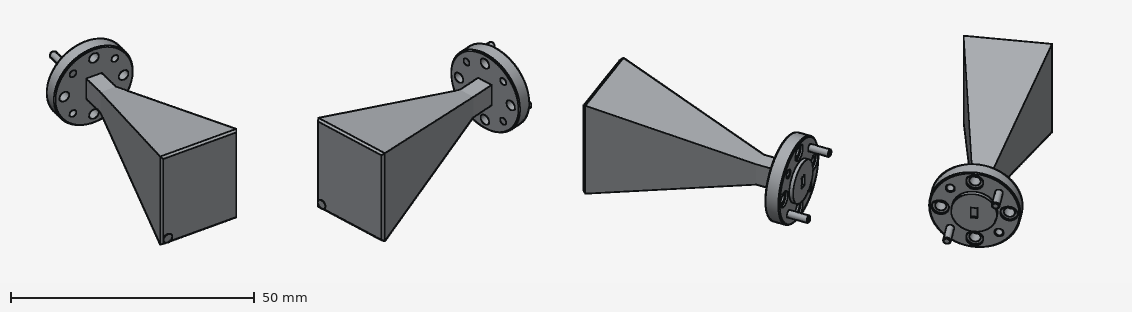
import cadquery as cq

BOSS_FACE_X = 3.75
FLANGE_FRONT_X = 4.65
FLANGE_REAR_X = 8.0
THROAT_X = 13.55
MOUTH_EDGE_X = 48.9
MOUTH_FACE_X = 49.5
OVERALL_LENGTH = 49.6

FLANGE_DIAMETER = 19.05
FLANGE_CHAMFER = 0.25
BOSS_DIAMETER = 9.5
FLANGE_THICKNESS = FLANGE_REAR_X - FLANGE_FRONT_X

SCREW_OFFSET = 7.15
SCREW_HOLE_DIAMETER = 2.35
COUNTERBORE_DIAMETER = 3.55
COUNTERBORE_DEPTH = 0.5
PIN_OFFSET = 5.05
ALIGNMENT_HOLE_DIAMETER = 1.65
ALIGNMENT_HOLE_CHAMFER = 0.15

PIN_DIAMETER = 1.65
PIN_CHAMFER = 0.2

PORT_WIDTH, PORT_HEIGHT = 1.4, 2.55
PORT_DEPTH = 0.5
GUIDE_WIDTH, GUIDE_HEIGHT = 3.7, 5.2
MOUTH_WIDTH, MOUTH_HEIGHT = 18.35, 22.45
MOUTH_BEVEL = 0.4

PAD_DIAMETER = 2.15
PAD_Y = PAD_DIAMETER / 2 - (MOUTH_WIDTH / 2 - MOUTH_BEVEL)
PAD_Z = PAD_DIAMETER / 2 - (MOUTH_HEIGHT / 2 - MOUTH_BEVEL)

SCREW_POSITIONS = [(SCREW_OFFSET, 0), (0, SCREW_OFFSET), (-SCREW_OFFSET, 0), (0, -SCREW_OFFSET)]
ALIGNMENT_POSITIONS = [(PIN_OFFSET, PIN_OFFSET), (-PIN_OFFSET, -PIN_OFFSET)]
PIN_POSITIONS = [(PIN_OFFSET, -PIN_OFFSET), (-PIN_OFFSET, PIN_OFFSET)]


def section(x):
    """Workplane across the axis at x: local axes are Y and Z, extruding toward +X."""
    return cq.Workplane("YZ", origin=(x, 0, 0))


def cylinders(x_start, x_end, diameter, positions):
    """Cylinders along X at the given (y, z) positions."""
    return section(x_start).pushPoints(positions).circle(diameter / 2).extrude(x_end - x_start)


def taper(x_start, size_start, x_end, size_end):
    """Straight-sided solid between two centred rectangles given as (width, height)."""
    return (
        section(x_start).rect(*size_start)
        .workplane(offset=x_end - x_start).rect(*size_end)
        .loft(ruled=True)
    )


def make_flange():
    disc = section(FLANGE_FRONT_X).circle(FLANGE_DIAMETER / 2).extrude(FLANGE_THICKNESS)
    disc = disc.faces("<X or >X").chamfer(FLANGE_CHAMFER)
    boss = section(BOSS_FACE_X).circle(BOSS_DIAMETER / 2).extrude(FLANGE_FRONT_X - BOSS_FACE_X)
    return disc.union(boss)


def make_flange_holes():
    screw_holes = cylinders(FLANGE_FRONT_X, FLANGE_REAR_X, SCREW_HOLE_DIAMETER, SCREW_POSITIONS)
    counterbores = cylinders(
        FLANGE_FRONT_X, FLANGE_FRONT_X + COUNTERBORE_DEPTH, COUNTERBORE_DIAMETER, SCREW_POSITIONS
    )
    pin_holes = cylinders(FLANGE_FRONT_X, FLANGE_REAR_X, PIN_DIAMETER, PIN_POSITIONS)
    holes = screw_holes.union(counterbores).union(pin_holes)
    for y, z in ALIGNMENT_POSITIONS:
        holes = holes.union(make_alignment_hole(y, z))
    return holes


def make_alignment_hole(y, z):
    """Through hole with a chamfered mouth at the front of the flange."""
    radius = ALIGNMENT_HOLE_DIAMETER / 2
    hole = cylinders(FLANGE_FRONT_X, FLANGE_REAR_X, ALIGNMENT_HOLE_DIAMETER, [(y, z)])
    countersink = cq.Workplane(cq.Solid.makeCone(
        radius + ALIGNMENT_HOLE_CHAMFER, radius, ALIGNMENT_HOLE_CHAMFER,
        pnt=cq.Vector(FLANGE_FRONT_X, y, z), dir=cq.Vector(1, 0, 0),
    ))
    return hole.union(countersink)


def make_horn():
    guide_size = (GUIDE_WIDTH, GUIDE_HEIGHT)
    mouth_size = (MOUTH_WIDTH, MOUTH_HEIGHT)
    face_size = (MOUTH_WIDTH - 2 * MOUTH_BEVEL, MOUTH_HEIGHT - 2 * MOUTH_BEVEL)
    guide = section(FLANGE_REAR_X).rect(*guide_size).extrude(THROAT_X - FLANGE_REAR_X)
    flare = taper(THROAT_X, guide_size, MOUTH_EDGE_X, mouth_size)
    bevel = taper(MOUTH_EDGE_X, mouth_size, MOUTH_FACE_X, face_size)
    pad = cylinders(MOUTH_FACE_X, OVERALL_LENGTH, PAD_DIAMETER, [(PAD_Y, PAD_Z)])
    return guide.union(flare).union(bevel).union(pad)


def make_antenna():
    """Flange, waveguide and horn in one piece."""
    port = section(BOSS_FACE_X).rect(PORT_WIDTH, PORT_HEIGHT).extrude(PORT_DEPTH)
    antenna = make_flange().union(make_horn())
    return antenna.cut(make_flange_holes()).cut(port)


def make_pin(y, z):
    """Dowel pin with a chamfered tip, ending flush with the rear of the flange."""
    return cylinders(0, FLANGE_REAR_X, PIN_DIAMETER, [(y, z)]).faces("<X").chamfer(PIN_CHAMFER)


antenna = make_antenna()
pins = [make_pin(y, z).val() for y, z in PIN_POSITIONS]

result = cq.Compound.makeCompound([antenna.val(), *pins])